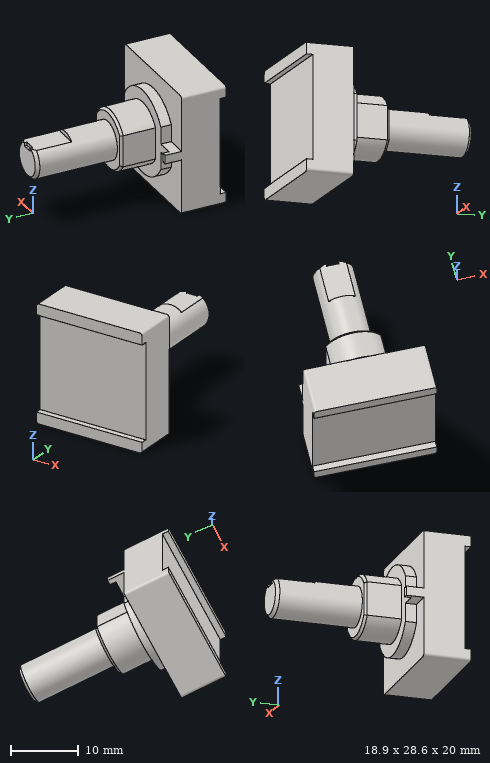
import cadquery as cq

WIDTH = 18.85
HEIGHT = 20.0
TOTAL_LENGTH = 28.57
HOUSING_DEPTH = 7.49
CORNER_RADIUS = 0.5
LIP_HEIGHT = 1.9
RECESS_DEPTH = 1.0

COLLAR_DIAMETER = 14.0
COLLAR_ACROSS_FLATS = 12.0
COLLAR_LENGTH = 1.75
BUSHING_DIAMETER = 10.0
BUSHING_ACROSS_FLATS = 8.49
BUSHING_LENGTH = 5.83
BUSHING_CHAMFER = 0.4

SHAFT_DIAMETER = 6.3
SHAFT_CHAMFER = 0.5
FLAT_HEIGHT = 2.4
FLAT_LENGTH = 6.4
NOTCH_WIDTH = 1.85
NOTCH_LENGTH = 0.43
NOTCH_DEPTH = 0.5

TAB_THICKNESS = 1.45
TAB_TIP_WIDTH = 0.8
TAB_TIP_LENGTH = 1.03

collar_start = HOUSING_DEPTH
bushing_start = collar_start + COLLAR_LENGTH
shaft_start = bushing_start + BUSHING_LENGTH


def block(x_range, y_range, z_range):
    """Box spanning the given ranges."""
    sizes = [high - low for low, high in (x_range, y_range, z_range)]
    corner = (x_range[0], y_range[0], z_range[0])
    return cq.Workplane("XY").box(*sizes, centered=False).translate(corner)


def cylinder(diameter, start, length):
    """Round bar along +Y."""
    return cq.Workplane("XZ", origin=(0, start, 0)).circle(diameter / 2).extrude(-length)


def flatted_disc(diameter, across_flats, start, length):
    """Round bar along +Y with flats on its -X and +X sides."""
    half_flats = across_flats / 2
    slab = block((-half_flats, half_flats), (start, start + length), (-diameter, diameter))
    return cylinder(diameter, start, length).intersect(slab)


def make_housing():
    body = block((-WIDTH / 2, WIDTH / 2), (0, HOUSING_DEPTH), (-HEIGHT / 2, HEIGHT / 2))
    body = body.edges("|Y").fillet(CORNER_RADIUS)
    half_recess = HEIGHT / 2 - LIP_HEIGHT
    recess = block((-WIDTH, WIDTH), (0, RECESS_DEPTH), (-half_recess, half_recess))
    return body.cut(recess)


def make_bushing():
    bushing = flatted_disc(BUSHING_DIAMETER, BUSHING_ACROSS_FLATS, bushing_start, BUSHING_LENGTH)
    return bushing.faces(">Y").chamfer(BUSHING_CHAMFER)


def make_shaft():
    shaft = cylinder(SHAFT_DIAMETER, shaft_start, TOTAL_LENGTH - shaft_start)
    shaft = shaft.faces(">Y").chamfer(SHAFT_CHAMFER)
    flat = block(
        (-SHAFT_DIAMETER, SHAFT_DIAMETER),
        (TOTAL_LENGTH - FLAT_LENGTH, TOTAL_LENGTH),
        (FLAT_HEIGHT, SHAFT_DIAMETER),
    )
    notch = block(
        (-NOTCH_WIDTH / 2, NOTCH_WIDTH / 2),
        (TOTAL_LENGTH - NOTCH_LENGTH, TOTAL_LENGTH),
        (FLAT_HEIGHT - NOTCH_DEPTH, SHAFT_DIAMETER),
    )
    return shaft.cut(flat).cut(notch)


def make_tab():
    """L-shaped tab: an arm running into the collar and a tip pointing along +Y."""
    left = -WIDTH / 2
    z_range = (-TAB_THICKNESS / 2, TAB_THICKNESS / 2)
    arm = block((left, 0), (collar_start, bushing_start), z_range)
    tip = block((left, left + TAB_TIP_WIDTH), (collar_start, bushing_start + TAB_TIP_LENGTH), z_range)
    return arm.union(tip)


collar = flatted_disc(COLLAR_DIAMETER, COLLAR_ACROSS_FLATS, collar_start, COLLAR_LENGTH)

result = make_housing().union(collar).union(make_bushing()).union(make_shaft()).union(make_tab())